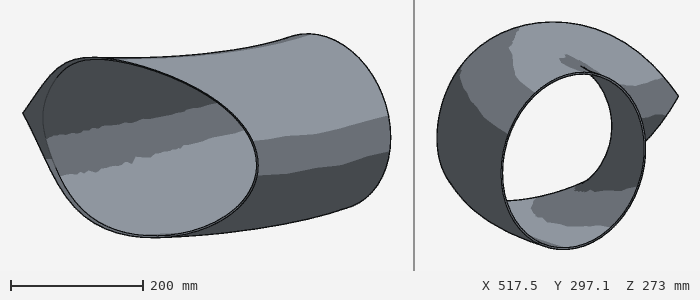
import cadquery as cq

outer_reach = 517.5
tube_diameter = 273.0
wall = 3.0
header_diameter = 407.0
header_overrun = 52.0

tube_radius = tube_diameter / 2
bend_radius = outer_reach - tube_radius
inner_flank_radius = bend_radius - tube_radius
header_radius = header_diameter / 2


def quarter_bend():
    """Hollow tube swept from the +X end face towards -Y, with the bend axis on Z."""
    return (
        cq.Workplane("XZ")
        .center(bend_radius, 0)
        .circle(tube_radius)
        .circle(tube_radius - wall)
        .revolve(90, (-bend_radius, 0), (-bend_radius, -1))
    )


def header_pipe():
    """Solid cylinder along X, touching the inner flank of the bend at its far -Y point."""
    return (
        cq.Workplane("ZY", origin=(outer_reach + header_overrun, 0, 0))
        .center(0, -inner_flank_radius - header_radius)
        .circle(header_radius)
        .extrude(outer_reach + 2 * header_overrun)
    )


result = quarter_bend().cut(header_pipe())